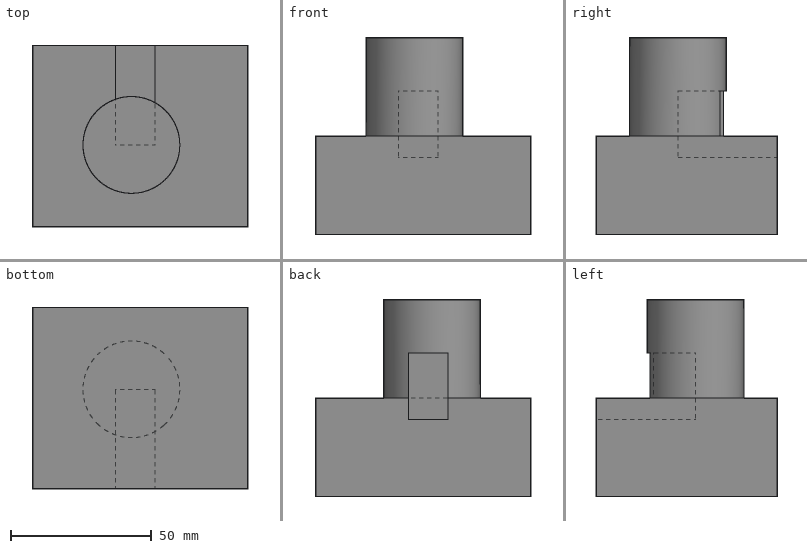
import cadquery as cq

base_length = 76.4
base_width = 64.3
base_height = 35.0

post_radius = 17.2
post_height = base_height
post_x = -3.1
post_y = -3.1

slot_width = 14.05
slot_center_x = -1.75
slot_depth_in_base = 7.65
slot_height_in_post = 16.0
slot_end_y = post_y


def make_base():
    return cq.Workplane("XY").box(base_length, base_width, base_height, centered=(True, True, False))


def make_post():
    return (
        cq.Workplane("XY", origin=(post_x, post_y, base_height))
        .circle(post_radius)
        .extrude(post_height)
    )


def make_slot():
    slot_length = base_width / 2 - slot_end_y
    slot_height = slot_depth_in_base + slot_height_in_post
    slot_floor = base_height - slot_depth_in_base
    return (
        cq.Workplane("XY", origin=(slot_center_x, slot_end_y, slot_floor))
        .box(slot_width, slot_length, slot_height, centered=(True, False, False))
    )


result = make_base().union(make_post()).cut(make_slot())